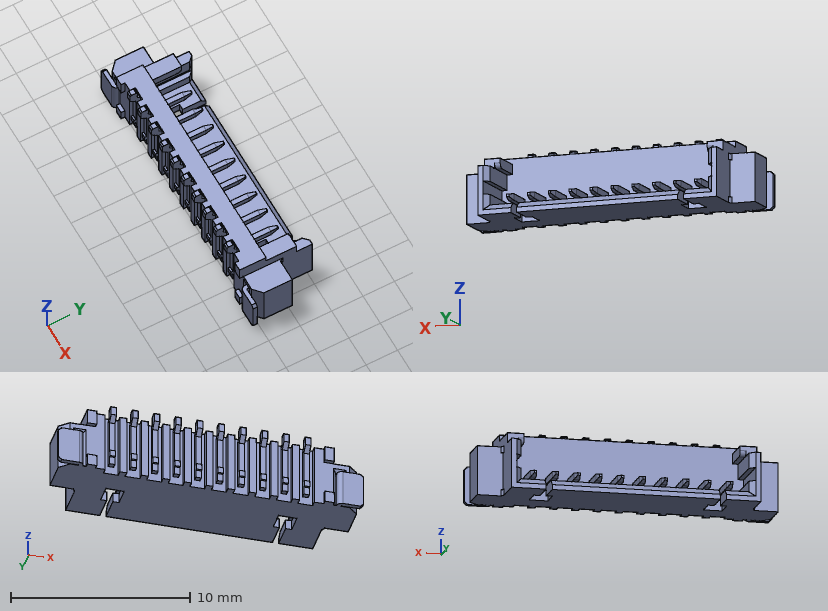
import cadquery as cq


BODY_WIDTH = 14.3
BODY_DEPTH = 4.7
FRONT_Y = 0.3
WALL_BACK_Y = 1.75
WALL_TOP_Z = 3.72
SIDE_STEP_Y = 3.69
SIDE_TOP_Z = 3.39
LOW_TOP_Z = 2.82
HALF_BODY = BODY_WIDTH / 2

FLOOR_Z = 0.6
SIDE_WALL = 0.62
SIDE_OVERHANG = 0.34
OVERHANG_RADIUS = 0.3
LEAD_IN = 0.32
GROOVE_BOTTOM_Z = 1.2
GROOVE_TOP_Z = 1.95
HALF_CAVITY = HALF_BODY - SIDE_WALL

LATCH_X = 5.0
LATCH_SLOT_WIDTH = 0.35
LATCH_WINDOW_WIDTH = 1.06
LATCH_WINDOW_Y = (2.08, 3.2)

PAD_WIDTH = 0.55
PAD_FRONT_Y = 0.05
LOWER_PAD_HEIGHT = 0.69

PIN_COUNT = 10
PIN_PITCH = 1.25
PIN_WIDTH = 0.32
CHANNEL_WIDTH = 0.85
CHANNEL_FLOOR_Y = 0.65
STEM_FRONT_Y = 0.37
STEM_BOTTOM_Z = 0.5
FOOT_TOP_Z = 4.2
FOOT_BACK_Y = 0.48
FOOT_BOTTOM_Z = 3.62
FOOT_CHAMFER = 0.09
FOOT_BEND_DROP = 0.34
FOOT_REAR_BEND_Z = 3.69
TINE_BOTTOM_Z = 0.97
TINE_TOP_Z = 1.35
TINE_FRONT_Y = 0.25
TINE_TAPER_Y = 3.48
TINE_TIP_Y = 4.0
TINE_TIP_SIZE = 0.15
STEM_EMBED = 0.05

EAR_HALF_SPAN = 8.63
EAR_BACK_Y = 2.6
EAR_BEVEL_X = 0.55
EAR_BEVEL_Y = 0.5
GUSSET_X = 0.12
GUSSET_Y = 0.23
GUSSET_HEIGHT = 0.35

NAIL_HALF_SPAN = 8.82
NAIL_INNER_X = 7.35
NAIL_HEIGHT = 2.17
NAIL_THICKNESS = 0.26
NAIL_BEND_RADIUS = 0.28
NAIL_CORNER = 0.18
POCKET_FLARE = 0.2
POCKET_OUTER_FLARE = 0.28
POCKET_WIDTH = 0.72
POCKET_TOP_Z = 2.5
POCKET_FLOOR_Y = 0.88
NAIL_EMBED = 0.07


def block(x_range, y_range, z_range):
    """Box between opposite limits on each axis."""
    size = [high - low for low, high in (x_range, y_range, z_range)]
    corner = (x_range[0], y_range[0], z_range[0])
    return cq.Workplane("XY").box(*size, centered=False).translate(corner)


def extrude_along_x(profile, x_low, x_high):
    """Prism of a (y, z) outline between two X positions."""
    outline = cq.Workplane("YZ", origin=(x_low, 0, 0)).polyline(profile).close()
    return outline.extrude(x_high - x_low)


def extrude_up(profile, z_low, z_high):
    """Prism of an (x, y) outline between two heights."""
    outline = cq.Workplane("XY", origin=(0, 0, z_low)).polyline(profile).close()
    return outline.extrude(z_high - z_low)


def both_ends(shape):
    """The shape together with its mirror image in the YZ plane."""
    return shape.union(shape.mirror("YZ"))


def housing():
    side_profile = [
        (FRONT_Y, 0),
        (BODY_DEPTH, 0),
        (BODY_DEPTH, LOW_TOP_Z),
        (SIDE_STEP_Y, LOW_TOP_Z),
        (SIDE_STEP_Y, SIDE_TOP_Z),
        (WALL_BACK_Y, SIDE_TOP_Z),
        (WALL_BACK_Y, WALL_TOP_Z),
        (FRONT_Y, WALL_TOP_Z),
    ]
    return extrude_along_x(side_profile, -HALF_BODY, HALF_BODY)


def cavity():
    """Open-topped mating space with its bevelled mouth and guide grooves."""
    depth = (WALL_BACK_Y, BODY_DEPTH)
    space = block((-HALF_CAVITY, HALF_CAVITY), depth, (FLOOR_Z, SIDE_TOP_Z))
    mouth_profile = [
        (HALF_CAVITY, BODY_DEPTH - LEAD_IN),
        (HALF_CAVITY + LEAD_IN, BODY_DEPTH),
        (-HALF_CAVITY - LEAD_IN, BODY_DEPTH),
        (-HALF_CAVITY, BODY_DEPTH - LEAD_IN),
    ]
    side_bevels = extrude_up(mouth_profile, FLOOR_Z - LEAD_IN, LOW_TOP_Z)
    floor_bevel_profile = [
        (BODY_DEPTH - LEAD_IN, FLOOR_Z),
        (BODY_DEPTH, FLOOR_Z - LEAD_IN),
        (BODY_DEPTH, LOW_TOP_Z),
        (BODY_DEPTH - LEAD_IN, LOW_TOP_Z),
    ]
    half_mouth = HALF_CAVITY + LEAD_IN
    mouth = side_bevels.intersect(extrude_along_x(floor_bevel_profile, -half_mouth, half_mouth))
    grooves = block((-half_mouth, half_mouth), depth, (GROOVE_BOTTOM_Z, GROOVE_TOP_Z))
    return space.union(mouth).union(grooves)


def side_overhang():
    """Thick upper part of the left side wall, rounded at its lower mouth-side edge."""
    overhang = block(
        (-HALF_CAVITY, -HALF_CAVITY + SIDE_OVERHANG),
        (WALL_BACK_Y, SIDE_STEP_Y),
        (LOW_TOP_Z, SIDE_TOP_Z),
    )
    return overhang.edges("|X and >Y and <Z").fillet(OVERHANG_RADIUS)


def latch_opening():
    """T-shaped opening through the floor, left end."""
    half_slot = LATCH_SLOT_WIDTH / 2
    half_window = LATCH_WINDOW_WIDTH / 2
    height = (0, FLOOR_Z)
    slot = block((-LATCH_X - half_slot, -LATCH_X + half_slot), (LATCH_WINDOW_Y[0], BODY_DEPTH), height)
    window = block((-LATCH_X - half_window, -LATCH_X + half_window), LATCH_WINDOW_Y, height)
    return slot.union(window)


def pads():
    """Upper and lower stand-off pads, left end."""
    width = (-HALF_BODY, -HALF_BODY + PAD_WIDTH)
    depth = (PAD_FRONT_Y, FRONT_Y)
    upper = block(width, depth, (LOW_TOP_Z, WALL_TOP_Z))
    lower = block(width, depth, (0, LOWER_PAD_HEIGHT))
    return upper.union(lower)


def ear():
    """Left ear with small gussets at the top and bottom of its rear root."""
    ear_profile = [
        (-HALF_BODY, FRONT_Y),
        (-EAR_HALF_SPAN + EAR_BEVEL_X, FRONT_Y),
        (-EAR_HALF_SPAN, FRONT_Y + EAR_BEVEL_Y),
        (-EAR_HALF_SPAN, EAR_BACK_Y),
        (-HALF_BODY, EAR_BACK_Y),
    ]
    gusset_profile = [
        (-HALF_BODY, EAR_BACK_Y),
        (-HALF_BODY - GUSSET_X, EAR_BACK_Y),
        (-HALF_BODY, EAR_BACK_Y + GUSSET_Y),
    ]
    shape = extrude_up(ear_profile, 0, LOW_TOP_Z)
    for gusset_z in (0, LOW_TOP_Z - GUSSET_HEIGHT):
        shape = shape.union(extrude_up(gusset_profile, gusset_z, gusset_z + GUSSET_HEIGHT))
    return shape


def nail_pocket():
    """Pocket in the front of the left ear, flared at its mouth."""
    mouth_left = -HALF_BODY - POCKET_WIDTH
    throat_left = mouth_left + POCKET_OUTER_FLARE
    throat_right = -HALF_BODY - POCKET_FLARE
    throat_bottom = POCKET_FLARE
    throat_top = POCKET_TOP_Z - POCKET_FLARE
    mouth_size = (POCKET_WIDTH, POCKET_TOP_Z)
    throat_size = (throat_right - throat_left, throat_top - throat_bottom)
    mouth_center = (mouth_left + POCKET_WIDTH / 2, POCKET_TOP_Z / 2)
    throat_center = ((throat_left + throat_right) / 2, (throat_bottom + throat_top) / 2)
    throat_offset = (throat_center[0] - mouth_center[0], throat_center[1] - mouth_center[1])
    flare = (
        cq.Workplane("XZ", origin=(mouth_center[0], FRONT_Y, mouth_center[1]))
        .rect(*mouth_size)
        .workplane(offset=-POCKET_FLARE)
        .center(*throat_offset)
        .rect(*throat_size)
        .loft(ruled=True)
    )
    throat = block(
        (throat_left, throat_right),
        (FRONT_Y + POCKET_FLARE, POCKET_FLOOR_Y),
        (throat_bottom, throat_top),
    )
    return flare.union(throat)


def nail():
    """Left solder nail: a flat plate bent back into the ear pocket."""
    plate_profile = [
        (-NAIL_HALF_SPAN, 0),
        (-NAIL_INNER_X, 0),
        (-NAIL_INNER_X, POCKET_FLOOR_Y + NAIL_EMBED),
        (-NAIL_INNER_X - NAIL_THICKNESS, POCKET_FLOOR_Y + NAIL_EMBED),
        (-NAIL_INNER_X - NAIL_THICKNESS, NAIL_THICKNESS),
        (-NAIL_HALF_SPAN, NAIL_THICKNESS),
    ]
    bent_plate = extrude_up(plate_profile, 0, NAIL_HEIGHT)
    bent_plate = bent_plate.edges("|Z and >X and <Y").fillet(NAIL_BEND_RADIUS)
    return bent_plate.faces("<X").edges("|Y").chamfer(NAIL_CORNER)


def pin():
    """Pin centred on X = 0: solder foot, stem and tapered mating tine."""
    stem_back = CHANNEL_FLOOR_Y + STEM_EMBED
    rear_run = stem_back - FOOT_BACK_Y
    stem_profile = [
        (0, FOOT_BOTTOM_Z),
        (0, FOOT_TOP_Z - FOOT_CHAMFER),
        (FOOT_CHAMFER, FOOT_TOP_Z),
        (FOOT_BACK_Y - FOOT_CHAMFER, FOOT_TOP_Z),
        (FOOT_BACK_Y, FOOT_TOP_Z - FOOT_CHAMFER),
        (FOOT_BACK_Y, FOOT_REAR_BEND_Z),
        (stem_back, FOOT_REAR_BEND_Z - rear_run),
        (stem_back, STEM_BOTTOM_Z),
        (STEM_FRONT_Y, STEM_BOTTOM_Z),
        (STEM_FRONT_Y, FOOT_BOTTOM_Z - FOOT_BEND_DROP),
    ]
    half_width = PIN_WIDTH / 2
    stem = extrude_along_x(stem_profile, -half_width, half_width)
    tine_height = (TINE_BOTTOM_Z, TINE_TOP_Z)
    shank = block((-half_width, half_width), (TINE_FRONT_Y, TINE_TAPER_Y), tine_height)
    tip = (
        cq.Workplane("XZ", origin=(0, TINE_TAPER_Y, sum(tine_height) / 2))
        .rect(PIN_WIDTH, TINE_TOP_Z - TINE_BOTTOM_Z)
        .workplane(offset=TINE_TAPER_Y - TINE_TIP_Y)
        .rect(TINE_TIP_SIZE, TINE_TIP_SIZE)
        .loft(ruled=True)
    )
    return stem.union(shank).union(tip)


def channel():
    """Channel cut for one pin, centred on X = 0 and open at top and bottom."""
    half_width = CHANNEL_WIDTH / 2
    return block((-half_width, half_width), (FRONT_Y, CHANNEL_FLOOR_Y), (0, WALL_TOP_Z))


result = housing().cut(cavity())
result = result.union(both_ends(side_overhang()))
result = result.cut(both_ends(latch_opening()))
result = result.union(both_ends(pads()))
result = result.union(both_ends(ear()))

result = result.cut(both_ends(nail_pocket()))
result = result.union(both_ends(nail()))

for index in range(PIN_COUNT):
    pin_x = (index - (PIN_COUNT - 1) / 2) * PIN_PITCH
    result = result.cut(channel().translate((pin_x, 0, 0)))
    result = result.union(pin().translate((pin_x, 0, 0)))